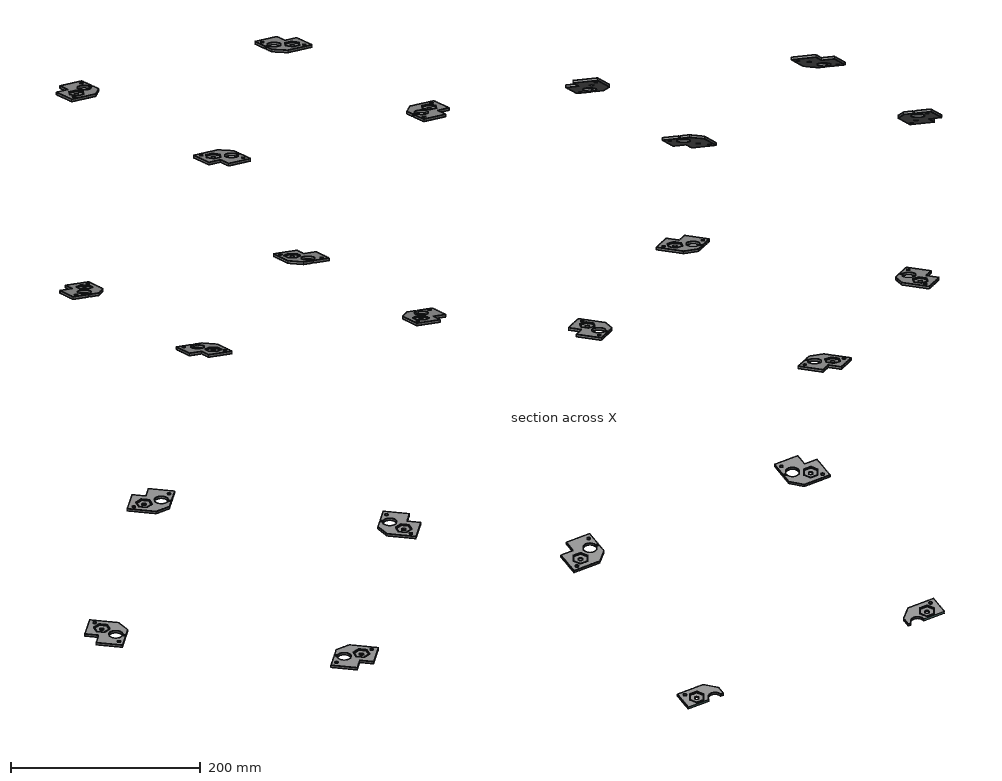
import cadquery as cq
import math

overall = 310.0
thickness = 3.5

plate_side = 43.5
notch = 15.0
corner_cut = 12.0

bevel_height = 0.5
bevel_width = 0.25
bevel_taper = math.degrees(math.atan(bevel_width / bevel_height))

screw_diameter = 3.5
screw_near = 6.5
screw_far = 38.5

opening_diameter = 14.5
opening_x = 19.8
opening_y = 32.5
slit_width = 2.0

pocket_x = 29.5
pocket_y = 15.8
rim_flats = 15.5
rim_depth = 0.5
nut_flats = 13.3
nut_depth = 1.5
bolt_diameter = 5.0
hexagon_turn = 30


def bevelled_prism(profile, taper):
    """Upright prism through the thickness, its rims narrowing (taper > 0) or flaring (taper < 0)."""
    outline = cq.Workplane("XY").add(profile.val())
    band_height = thickness - 2 * bevel_height
    band = outline.toPending().extrude(band_height).translate((0, 0, bevel_height))
    rim = outline.toPending().extrude(bevel_height, taper=taper)
    top_rim = rim.translate((0, 0, thickness - bevel_height))
    bottom_rim = rim.mirror("XY").translate((0, 0, bevel_height))
    return band.union(top_rim).union(bottom_rim)


def plate_blank():
    cut_start = plate_side - corner_cut
    outline = [
        (notch, 0),
        (plate_side, 0),
        (plate_side, cut_start),
        (cut_start, plate_side),
        (0, plate_side),
        (0, notch),
        (notch, notch),
    ]
    return bevelled_prism(cq.Workplane("XY").polyline(outline).close(), bevel_taper)


def through_hole(x, y, diameter):
    circle = cq.Workplane("XY").center(x, y).circle(diameter / 2)
    return bevelled_prism(circle, -bevel_taper)


def slit():
    length = plate_side - opening_y
    middle = opening_y + length / 2
    rectangle = cq.Workplane("XY").center(opening_x, middle).rect(slit_width, length)
    return bevelled_prism(rectangle, -bevel_taper)


def hexagon_pocket(flats, depth):
    """Hexagonal recess in the top face, with two flats parallel to Y."""
    corners = flats / math.cos(math.pi / 6)
    hexagon = cq.Workplane("XY").polygon(6, corners).extrude(depth)
    return hexagon.rotate((0, 0, 0), (0, 0, 1), hexagon_turn).translate((pocket_x, pocket_y, thickness - depth))


def bolt_hole():
    return cq.Workplane("XY").center(pocket_x, pocket_y).circle(bolt_diameter / 2).extrude(thickness)


def corner_plate():
    """Plate in the -X, -Y corner of the layout."""
    plate = plate_blank()
    plate = plate.cut(through_hole(screw_near, screw_far, screw_diameter))
    plate = plate.cut(through_hole(screw_far, screw_near, screw_diameter))
    plate = plate.cut(through_hole(opening_x, opening_y, opening_diameter))
    plate = plate.cut(slit())
    plate = plate.cut(hexagon_pocket(rim_flats, rim_depth))
    plate = plate.cut(hexagon_pocket(nut_flats, nut_depth))
    plate = plate.cut(bolt_hole())
    return plate.translate((-overall / 2, -overall / 2, 0))


plates = []
near_plate = corner_plate()
for row in (near_plate, near_plate.mirror("XZ")):
    plates.append(row.val())
    plates.append(row.mirror("YZ").val())

result = cq.Compound.makeCompound(plates)